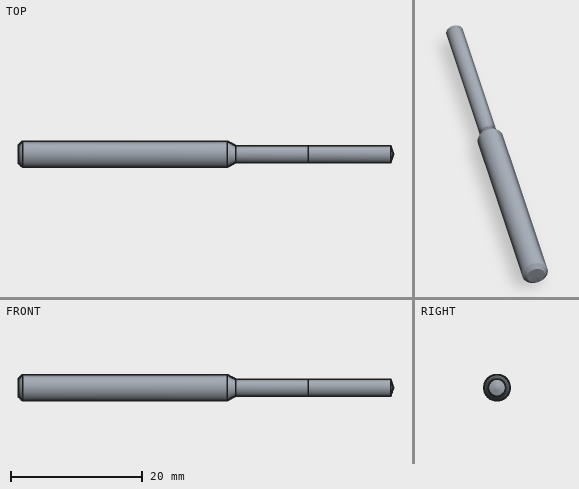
import cadquery as cq

overall_length = 57.0
shank_diameter = 4.0
neck_diameter = 2.6
back_chamfer = 0.6
taper_start = 31.7
taper_length = 1.3
joint_position = 44.0
point_length = 0.45

shank_radius = shank_diameter / 2
neck_radius = neck_diameter / 2
taper_end = taper_start + taper_length
point_base = overall_length - point_length


def turned(profile_points):
    """Revolve a closed (X, radius) profile about the X axis."""
    return (
        cq.Workplane("XY")
        .polyline(profile_points)
        .close()
        .revolve(360, (0, 0, 0), (1, 0, 0))
    )


def make_shank():
    """Chamfered shank that tapers down to a slim neck."""
    return turned([
        (0, 0),
        (0, shank_radius - back_chamfer),
        (back_chamfer, shank_radius),
        (taper_start, shank_radius),
        (taper_end, neck_radius),
        (joint_position, neck_radius),
        (joint_position, 0),
    ])


def make_cutting_head():
    """Cylindrical head, flush with the neck, ending in a shallow cone point."""
    return turned([
        (joint_position, 0),
        (joint_position, neck_radius),
        (point_base, neck_radius),
        (overall_length, 0),
    ])


shank = make_shank()
cutting_head = make_cutting_head()

result = cq.Compound.makeCompound([shank.val(), cutting_head.val()])